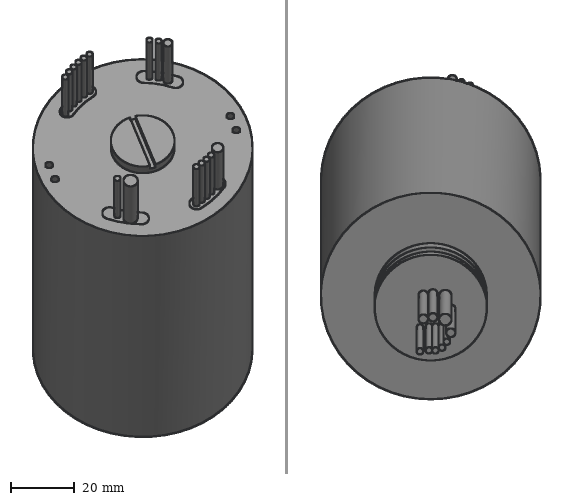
import cadquery as cq
import math

body_diameter = 69.0
body_height = 106.1

flange_diameter = 35.3
groove_diameter = 28.5
upper_flange_height = 4.0
groove_height = 3.8
lower_flange_height = 2.9
collar_height = upper_flange_height + groove_height + lower_flange_height

cap_diameter = 20.0
cap_height = 3.5
cap_slot_width = 1.8
cap_slot_depth = 1.5

hole_diameter = 2.4
hole_depth = 5.0
hole_point_angle = 118.0
hole_x = 2.9
hole_y = 30.0

slot_radius = 27.6
slot_width = 4.6
slot_depth = 0.1
slot_mid_angle = 30.0
slot_half_angle = 10.7

upper_lead_length = 19.5
lower_lead_length = 22.0
thin_upper_lead = 2.0
thin_lower_lead = 2.1

right_back_count = 4
right_back_pitch = 4.5
right_back_start = 19.0
left_front_count = 6
left_front_pitch = 4.9
left_front_start = 198.5
upper_leads = [
    (39.8, 3.6),
    (144.8, 2.9),
    (151.0, thin_upper_lead),
    (157.0, thin_upper_lead),
    (324.7, thin_upper_lead),
    (333.5, 4.5),
]
upper_leads += [
    (right_back_start + i * right_back_pitch, thin_upper_lead) for i in range(right_back_count)
]
upper_leads += [
    (left_front_start + i * left_front_pitch, thin_upper_lead) for i in range(left_front_count)
]

lower_leads = [
    (-6.05, 0.05, 3.9),
    (-4.5, -4.4, 2.9),
    (-1.6, -5.85, thin_lower_lead),
    (0.8, -6.4, thin_lower_lead),
    (3.0, -5.7, thin_lower_lead),
    (4.5, -4.4, thin_lower_lead),
    (6.85, -2.8, thin_lower_lead),
    (-3.6, 3.15, 2.8),
    (-0.95, 4.7, 3.0),
]


def cylinder(x, y, z, diameter, height):
    """Upright cylinder with its lower face centred on (x, y, z)."""
    return cq.Workplane("XY", origin=(x, y, z)).circle(diameter / 2).extrude(height)


def polar(radius, angle):
    """Point at a radius from the axis and an angle in degrees from +X."""
    return (radius * math.cos(math.radians(angle)), radius * math.sin(math.radians(angle)))


def housing():
    """Body, stepped collar and cap on one axis."""
    upper_flange_bottom = -upper_flange_height
    groove_bottom = upper_flange_bottom - groove_height
    solid = cylinder(0, 0, 0, body_diameter, body_height)
    solid = solid.union(cylinder(0, 0, upper_flange_bottom, flange_diameter, upper_flange_height))
    solid = solid.union(cylinder(0, 0, groove_bottom, groove_diameter, groove_height))
    solid = solid.union(cylinder(0, 0, -collar_height, flange_diameter, lower_flange_height))
    return solid.union(cylinder(0, 0, body_height, cap_diameter, cap_height))


def cap_slot():
    """Screwdriver slot across the cap, along X."""
    floor = body_height + cap_height - cap_slot_depth
    return cq.Workplane("XY", origin=(0, 0, floor)).rect(cap_diameter, cap_slot_width).extrude(cap_slot_depth)


def drilled_hole(x, y):
    """Blind hole in the top face, turned from its half section."""
    radius = hole_diameter / 2
    point_height = radius / math.tan(math.radians(hole_point_angle / 2))
    section = [(0, 0), (radius, 0), (radius, -hole_depth), (0, -hole_depth - point_height)]
    profile = cq.Workplane("XZ", origin=(x, y, body_height)).polyline(section).close()
    return profile.revolve(360, (0, 0), (0, 1))


def curved_slot(mid_angle):
    """Round-ended slot following the lead circle, sunk into the top face."""
    start = mid_angle - slot_half_angle
    end = mid_angle + slot_half_angle
    outer = slot_radius + slot_width / 2
    inner = slot_radius - slot_width / 2
    end_cap = math.degrees(slot_width / 2 / slot_radius)
    return (
        cq.Workplane("XY", origin=(0, 0, body_height - slot_depth))
        .moveTo(*polar(outer, start))
        .threePointArc(polar(outer, mid_angle), polar(outer, end))
        .threePointArc(polar(slot_radius, end + end_cap), polar(inner, end))
        .threePointArc(polar(inner, mid_angle), polar(inner, start))
        .threePointArc(polar(slot_radius, start - end_cap), polar(outer, start))
        .close()
        .extrude(slot_depth)
    )


result = housing().cut(cap_slot())

for side_x in (-hole_x, hole_x):
    for side_y in (-hole_y, hole_y):
        result = result.cut(drilled_hole(side_x, side_y))

for mid_angle in (slot_mid_angle, 180 - slot_mid_angle, 180 + slot_mid_angle, 360 - slot_mid_angle):
    result = result.cut(curved_slot(mid_angle))

for angle, diameter in upper_leads:
    x, y = polar(slot_radius, angle)
    lead = cylinder(x, y, body_height - slot_depth, diameter, slot_depth + upper_lead_length)
    result = result.union(lead)

for x, y, diameter in lower_leads:
    lead = cylinder(x, y, -collar_height - lower_lead_length, diameter, lower_lead_length)
    result = result.union(lead)